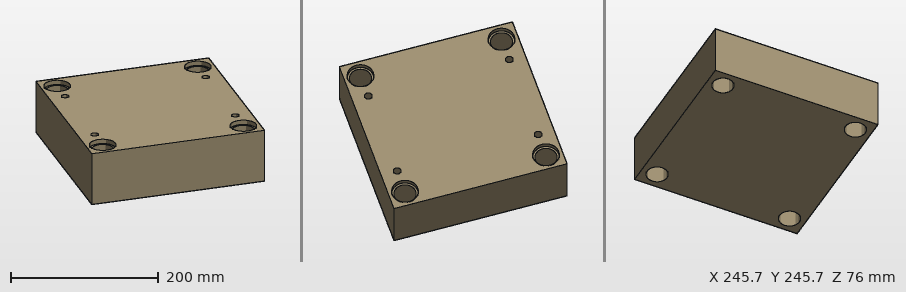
import cadquery as cq
import math

side = 245.7
height = 76.0

corner_offset = 100.0
bore_diameter = 30.0
counterbore_diameter = 36.0
counterbore_depth = 6.5

drill_offset = 64.9
drill_diameter = 10.3
drill_depth = 24.5
drill_tip_angle = 118.0


def mirrored_points(x, y):
    """Return one point in each quadrant of the top face."""
    return [(sx * x, sy * y) for sx in (-1, 1) for sy in (-1, 1)]


def drill_cutter():
    """Cylinder with a conical tip, pointing down from the top face."""
    radius = drill_diameter / 2
    cylinder = cq.Workplane("XY").circle(radius).extrude(-drill_depth)
    tip_height = radius / math.tan(math.radians(drill_tip_angle / 2))
    tip = cq.Solid.makeCone(radius, 0, tip_height, cq.Vector(0, 0, -drill_depth), cq.Vector(0, 0, -1))
    return cylinder.union(cq.Workplane(tip))


block = cq.Workplane("XY").box(side, side, height, centered=(True, True, False))

block = (
    block.faces(">Z")
    .workplane()
    .pushPoints(mirrored_points(corner_offset, corner_offset))
    .cboreHole(bore_diameter, counterbore_diameter, counterbore_depth)
)

cutter = drill_cutter()
for x, y in mirrored_points(drill_offset, corner_offset):
    block = block.cut(cutter.translate((x, y, height)))

result = block